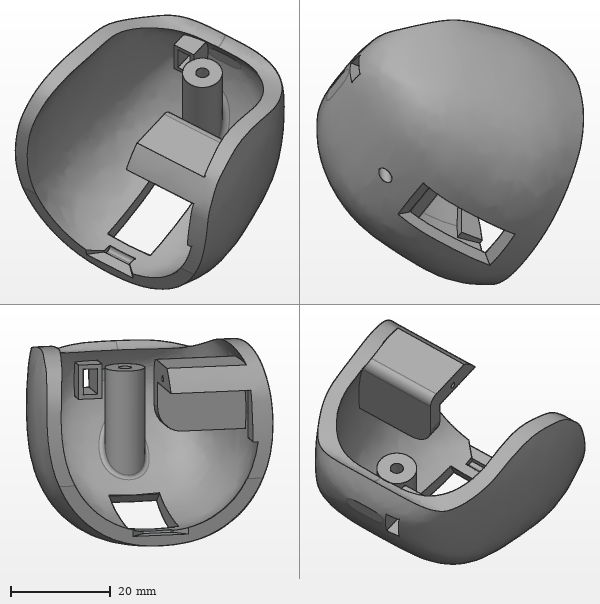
import cadquery as cq
import math


BODY_SECTIONS = [
    (-2.0, 22.9, 1.3, 50.0, 2.1),
    (2.0, 23.35, 0.5, 49.0, 2.25),
    (6.0, 23.86, 0.03, 48.5, 2.4),
    (13.0, 23.98, 0.5, 48.4, 2.5),
    (21.0, 22.9, 2.0, 48.4, 2.55),
    (29.0, 21.0, 5.6, 47.5, 2.95),
    (35.0, 18.4, 10.3, 43.5, 3.25),
    (39.8, 15.1, 16.7, 36.9, 3.2),
    (42.5, 11.3, 21.8, 33.4, 3.1),
    (43.5, 8.0, 24.7, 31.5, 3.0),
    (44.05, 4.5, 27.0, 30.0, 3.0),
]
POINTS_PER_SECTION = 24

MOUTH_CENTRE_Z = 26.0
CAVITY_SCALE_X = 0.875
CAVITY_SCALE_Y = 0.93
CAVITY_SCALE_Z = 0.885

RIM_LIP = (41.3, 35.1)
RIM_POINTS = [
    RIM_LIP,
    (40.2, 34.1),
    (38.5, 33.6),
    (36.8, 33.85),
    (29.0, 36.6),
    (20.7, 38.4),
    (16.5, 38.69),
    (13.2, 38.4),
    (9.9, 37.5),
    (6.3, 35.8),
    (3.95, 33.4),
    (2.5, 31.3),
    (1.2, 26.9),
    (0.5, 22.6),
    (0.0, 13.9),
]
MOUTH_BOTTOM = (0.6, -1.0)
BEYOND = 60.0

POST_Y = 33.1
POST_RADIUS = 4.0
POST_TOP = 31.1
POST_HOLE_RADIUS = 1.3
POST_FOOT_ROUND = 1.0
POST_FOOT_TOP = 22.0

SOCKET_X = -6.45
SOCKET_Z = 27.9
SOCKET_WIDTH = 4.85
SOCKET_HEIGHT = 7.0
SOCKET_FRONT_Y = 35.9
SLOT_WIDTH = 2.9
SLOT_HEIGHT = 5.2

WINDOW_WIDTH = 10.4
WINDOW_PROFILE = [(6.0, -0.4), (7.3, 3.1), (7.3, 12.0), (24.65, 12.0), (24.65, 6.6), (35.0, -0.4)]

NOTCH_FLOOR = 3.0
NOTCH_TOP = 6.6
NOTCH_MOUTH_HALF = 6.1
NOTCH_THROAT_HALF = 3.1
NOTCH_THROAT_Y = 3.0
NOTCH_END_Y = 5.0
GROOVE_DEPTH = 0.9

BRACKET_X = 2.6
BRACKET_BACK_Y = 17.9
BRACKET_TOP = 35.85
BRACKET_ARM_BOTTOM = 31.4
BRACKET_BOTTOM = 21.25
BRACKET_LEG_THICKNESS = 3.2
BRACKET_LEG_ROUND = 5.0
BRACKET_BACK_ROUND = 2.0
PAD_X = 19.0
PAD_BACK_Y = 5.1
PIN_Y = 10.2
PIN_Z = 33.0
PIN_RADIUS = 0.6
PIN_DEPTH = 5.0


def signed_power(value, exponent):
    return math.copysign(abs(value) ** exponent, value)


def section_wire(y, half_width, bottom, top, squareness):
    """Closed superellipse in the plane at y. All sections share their knots so they loft cleanly."""
    centre = (bottom + top) / 2
    half_height = (top - bottom) / 2
    points = []
    for i in range(POINTS_PER_SECTION):
        angle = 2 * math.pi * i / POINTS_PER_SECTION
        x = half_width * signed_power(math.cos(angle), 2 / squareness)
        z = centre + half_height * signed_power(math.sin(angle), 2 / squareness)
        points.append(cq.Vector(x, y, z))
    knots = [i / POINTS_PER_SECTION for i in range(POINTS_PER_SECTION + 1)]
    return cq.Wire.assembleEdges([cq.Edge.makeSpline(points, periodic=True, parameters=knots)])


def loft_sections(sections):
    wires = [section_wire(*section) for section in sections]
    return cq.Workplane(obj=cq.Solid.makeLoft(wires))


def cavity_height(z):
    return MOUTH_CENTRE_Z + CAVITY_SCALE_Z * (z - MOUTH_CENTRE_Z)


def make_cavity():
    sections = []
    for y, half_width, bottom, top, squareness in BODY_SECTIONS:
        sections.append(
            (
                y * CAVITY_SCALE_Y,
                half_width * CAVITY_SCALE_X,
                cavity_height(bottom),
                cavity_height(top),
                squareness,
            )
        )
    return loft_sections(sections)


def make_rim_envelope():
    """Everything below and behind the rim line."""
    return (
        cq.Workplane("YZ")
        .moveTo(*RIM_LIP)
        .spline(RIM_POINTS[1:], includeCurrent=True)
        .lineTo(*MOUTH_BOTTOM)
        .lineTo(BEYOND, MOUTH_BOTTOM[1])
        .lineTo(BEYOND, RIM_LIP[1])
        .close()
        .extrude(BEYOND, both=True)
    )


def make_post():
    return cq.Workplane("XY").center(0, POST_Y).circle(POST_RADIUS).extrude(POST_TOP)


def make_socket():
    return (
        cq.Workplane("XZ", origin=(SOCKET_X, SOCKET_FRONT_Y, SOCKET_Z))
        .rect(SOCKET_WIDTH, SOCKET_HEIGHT)
        .extrude(-BEYOND)
    )


def make_bracket():
    """Arm, leg and side pad. The body trims their +X side and the front of the arm and pad."""
    leg_height = BRACKET_ARM_BOTTOM - BRACKET_BOTTOM
    arm = (
        cq.Workplane("XY", origin=(BRACKET_X, 0, BRACKET_ARM_BOTTOM))
        .box(BEYOND, BRACKET_BACK_Y, BRACKET_TOP - BRACKET_ARM_BOTTOM, centered=False)
        .edges("|X and >Y and >Z")
        .fillet(BRACKET_BACK_ROUND)
    )
    leg = (
        cq.Workplane("XY", origin=(BRACKET_X, BRACKET_BACK_Y - BRACKET_LEG_THICKNESS, BRACKET_BOTTOM))
        .box(BEYOND, BRACKET_LEG_THICKNESS, leg_height, centered=False)
        .edges("|Y and <X and <Z")
        .fillet(BRACKET_LEG_ROUND)
    )
    pad = cq.Workplane("XY", origin=(PAD_X, 0, BRACKET_BOTTOM)).box(
        BEYOND, PAD_BACK_Y, leg_height, centered=False
    )
    return arm.union(leg).union(pad)


def make_hollow():
    """The cavity with the post, socket box and bracket left standing in it."""
    hollow = make_cavity().cut(make_post())
    foot_reach = POST_RADIUS + POST_FOOT_ROUND
    foot = cq.selectors.BoxSelector(
        (-foot_reach, POST_Y - foot_reach, 0), (foot_reach, POST_Y + foot_reach, POST_FOOT_TOP)
    )
    hollow = hollow.edges(foot).fillet(POST_FOOT_ROUND)
    return hollow.cut(make_socket()).cut(make_bracket())


def make_post_hole():
    return cq.Workplane("XY").center(0, POST_Y).circle(POST_HOLE_RADIUS).extrude(BEYOND)


def make_socket_slot():
    return (
        cq.Workplane("XZ", origin=(SOCKET_X, SOCKET_FRONT_Y, SOCKET_Z))
        .rect(SLOT_WIDTH, SLOT_HEIGHT)
        .extrude(-BEYOND)
    )


def make_window():
    return cq.Workplane("YZ").polyline(WINDOW_PROFILE).close().extrude(WINDOW_WIDTH / 2, both=True)


def make_notch():
    """Flared flat seat at the mouth with a rounded groove across its inner end."""
    groove_floor = NOTCH_FLOOR - GROOVE_DEPTH
    seat = (
        cq.Workplane("XY", origin=(0, 0, NOTCH_FLOOR))
        .moveTo(-NOTCH_MOUTH_HALF, 0)
        .lineTo(-NOTCH_THROAT_HALF, NOTCH_THROAT_Y)
        .lineTo(-NOTCH_THROAT_HALF, NOTCH_END_Y)
        .lineTo(NOTCH_THROAT_HALF, NOTCH_END_Y)
        .lineTo(NOTCH_THROAT_HALF, NOTCH_THROAT_Y)
        .lineTo(NOTCH_MOUTH_HALF, 0)
        .close()
        .extrude(NOTCH_TOP - NOTCH_FLOOR)
    )
    groove = (
        cq.Workplane("YZ")
        .moveTo(NOTCH_THROAT_Y, NOTCH_FLOOR)
        .lineTo(NOTCH_THROAT_Y, groove_floor)
        .lineTo(NOTCH_END_Y - GROOVE_DEPTH, groove_floor)
        .radiusArc((NOTCH_END_Y, NOTCH_FLOOR), -GROOVE_DEPTH)
        .close()
        .extrude(NOTCH_THROAT_HALF, both=True)
    )
    return seat.union(groove)


def make_pin_hole():
    return cq.Workplane("YZ", origin=(BRACKET_X, PIN_Y, PIN_Z)).circle(PIN_RADIUS).extrude(PIN_DEPTH)


body = loft_sections(BODY_SECTIONS).intersect(make_rim_envelope())
result = body.cut(make_hollow())
for opening in (make_post_hole(), make_socket_slot(), make_window(), make_notch(), make_pin_hole()):
    result = result.cut(opening)